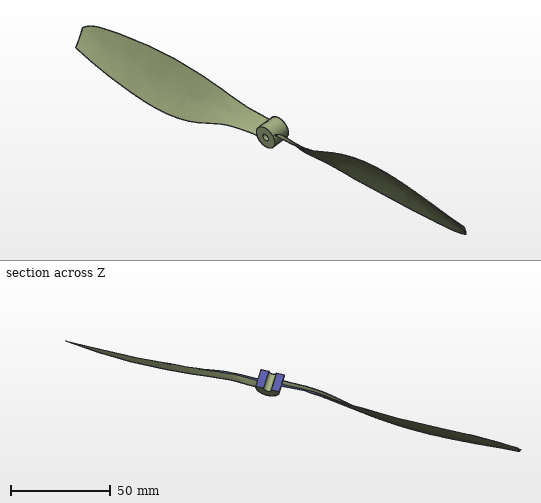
import cadquery as cq
import math

blade_radius = 130.0
hub_diameter = 12.5
bore_diameter = 4.0
hub_back = 5.2
hub_front = -5.2
blade_root = 4.2

blade_thickness = 1.0
camber_ratio = 0.035

blade_stations = [
    (blade_root, (2.9, -4.0), (-4.2, 4.0)),
    (15.5, (2.9, -3.6), (-4.5, 5.0)),
    (26.0, (3.0, -3.6), (-5.0, 7.5)),
    (36.5, (4.2, -3.6), (-5.2, 12.2)),
    (46.8, (4.7, -4.2), (-5.5, 17.7)),
    (59.8, (5.2, -4.2), (-5.5, 22.4)),
    (78.0, (5.5, -3.5), (-5.2, 24.83)),
    (93.5, (5.0, -1.8), (-5.0, 24.2)),
    (109.2, (4.2, 0.5), (-4.7, 22.0)),
    (119.5, (3.5, 2.5), (-4.5, 20.0)),
    (126.0, (2.5, 5.0), (-4.2, 18.5)),
    (blade_radius, (1.3, 7.5), (-4.0, 17.7)),
]


def blade_section(distance, straight_edge, bowed_edge):
    """Closed crescent between the two blade edges, bulging toward the back (+Y)."""
    y_straight, z_straight = straight_edge
    y_bowed, z_bowed = bowed_edge
    chord_y = y_bowed - y_straight
    chord_z = z_bowed - z_straight
    chord = math.hypot(chord_y, chord_z)

    def point_above_mid_chord(rise):
        return (
            (y_straight + y_bowed) / 2 + rise * chord_z / chord,
            (z_straight + z_bowed) / 2 - rise * chord_y / chord,
        )

    front_rise = camber_ratio * chord
    return (
        cq.Workplane("YZ", origin=(distance, 0, 0))
        .moveTo(*straight_edge)
        .threePointArc(point_above_mid_chord(front_rise), bowed_edge)
        .threePointArc(point_above_mid_chord(front_rise + blade_thickness), straight_edge)
        .close()
        .val()
    )


def make_blade():
    sections = [blade_section(*station) for station in blade_stations]
    return cq.Workplane(cq.Solid.makeLoft(sections))


def cylinder_along_shaft(diameter):
    return (
        cq.Workplane("XZ", origin=(0, hub_back, 0))
        .circle(diameter / 2)
        .extrude(hub_back - hub_front)
    )


blade = make_blade()
opposite_blade = blade.rotate((0, 0, 0), (0, 1, 0), 180)
hub = cylinder_along_shaft(hub_diameter)
bore = cylinder_along_shaft(bore_diameter)

result = hub.union(blade).union(opposite_blade).cut(bore)